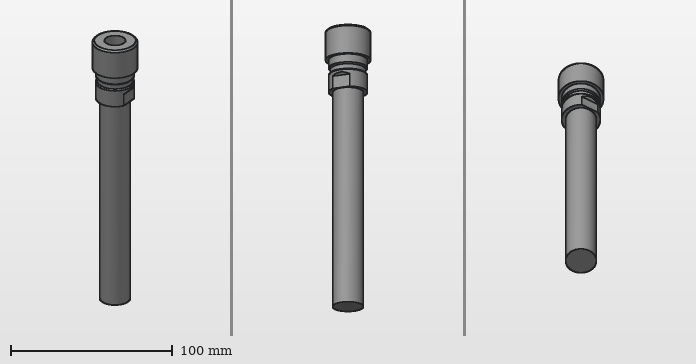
import cadquery as cq

total_length = 180.0
shank_length = 140.0

nut_diameter = 28.0
body_diameter = 24.0
groove_diameter = 22.2
shank_diameter = 19.05
bore_diameter = 13.0

nut_height = 19.0
groove_top_depth = 24.2
groove_bottom_depth = 29.0
flat_top_depth = 30.5

nut_chamfer = 1.2
width_across_flats = 21.0

bore_depth = total_length - shank_length


def turned_profile():
    """Half section of the solid turned body as (radius, z) points."""
    nut_radius = nut_diameter / 2
    body_radius = body_diameter / 2
    groove_radius = groove_diameter / 2
    shank_radius = shank_diameter / 2
    groove_slope = body_radius - groove_radius
    nut_bottom = total_length - nut_height
    groove_top = total_length - groove_top_depth
    groove_bottom = total_length - groove_bottom_depth
    return [
        (0, 0),
        (shank_radius, 0),
        (shank_radius, shank_length),
        (body_radius, shank_length),
        (body_radius, groove_bottom),
        (groove_radius, groove_bottom + groove_slope),
        (groove_radius, groove_top - groove_slope),
        (body_radius, groove_top),
        (body_radius, nut_bottom),
        (nut_radius, nut_bottom),
        (nut_radius, total_length - nut_chamfer),
        (nut_radius - nut_chamfer, total_length),
        (0, total_length),
    ]


def turned_body():
    """Shank, grooved body and chamfered nut as one revolved solid."""
    section = cq.Workplane("XZ").polyline(turned_profile()).close()
    return section.revolve(360, (0, 0, 0), (0, 1, 0))


def wrench_flat(side):
    """Cutter for one wrench flat with a 45 degree run-out; side is -1 or +1 along X."""
    inner_x = width_across_flats / 2
    outer_x = body_diameter / 2
    runout_top = total_length - flat_top_depth
    runout_bottom = runout_top - (outer_x - inner_x)
    section = cq.Workplane("XZ").polyline([
        (side * inner_x, shank_length),
        (side * outer_x, shank_length),
        (side * outer_x, runout_top),
        (side * inner_x, runout_bottom),
    ]).close()
    return section.extrude(body_diameter / 2, both=True)


def bore():
    """Blind bore entering from the top face."""
    floor = cq.Workplane("XY").workplane(offset=total_length - bore_depth)
    return floor.circle(bore_diameter / 2).extrude(bore_depth)


result = turned_body().cut(bore())
for flat_side in (-1, 1):
    result = result.cut(wrench_flat(flat_side))